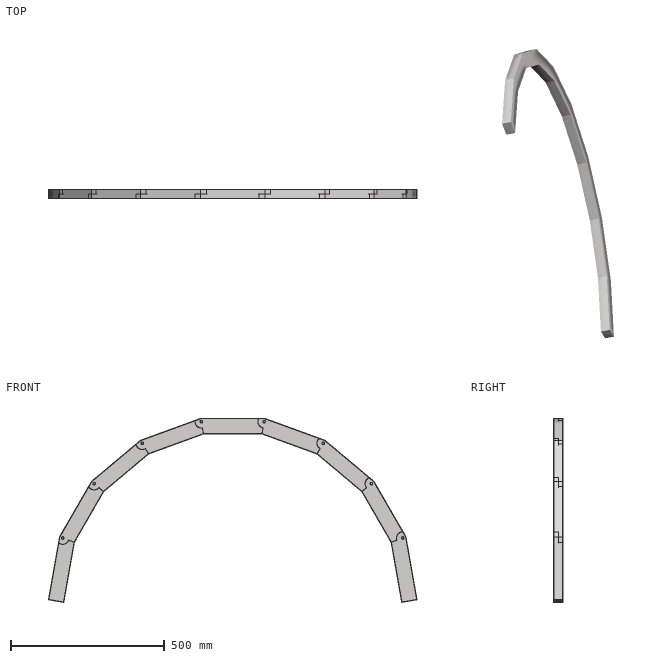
import cadquery as cq
import math

span = 1201.0
link_count = 9
bend = 20.0
foot_length = 208.0
link_height = 50.0
link_thickness = 30.0
front_lap = link_thickness / 2
back_lap = -link_thickness / 2
lug_radius = 20.0
pin_hole_radius = 4.0
pin_depth = 11.0

slopes = [bend * ((link_count - 1) / 2 - i) for i in range(link_count)]
slope_cosines = [math.cos(math.radians(slope)) for slope in slopes]
middle_length = (span - foot_length * (slope_cosines[0] + slope_cosines[-1])) / sum(slope_cosines[1:-1])
lengths = [foot_length] + [middle_length] * (link_count - 2) + [foot_length]


def step(point, angle, distance):
    """Point reached from `point` by moving `distance` at `angle` degrees in XZ."""
    direction = math.radians(angle)
    return (point[0] + distance * math.cos(direction), point[1] + distance * math.sin(direction))


corners = [(-span / 2, 0.0)]
for slope, length in zip(slopes, lengths):
    corners.append(step(corners[-1], slope, length))


def inward_angle(corner):
    """Direction of the end face at a corner, in degrees: square at the feet, mitred at the joints."""
    if corner == 0:
        return slopes[0] - 90
    if corner == link_count:
        return slopes[-1] - 90
    return (slopes[corner - 1] + slopes[corner]) / 2 - 90


def is_joint(corner):
    """True where two links meet, False at the feet."""
    return 0 < corner < link_count


def inner_corner(corner):
    """Inner edge point of the end face; a mitred face is longer than the link height."""
    end_face = link_height
    if is_joint(corner):
        end_face = link_height / math.cos(math.radians(bend / 2))
    return step(corners[corner], inward_angle(corner), end_face)


def plate(link, lap):
    """One lap of a plain link, without lugs."""
    outline = [corners[link], corners[link + 1], inner_corner(link + 1), inner_corner(link)]
    return cq.Workplane("XZ").polyline(outline).close().extrude(lap)


def pin_disc(corner, radius, lap):
    """Disc about the pin axis of a joint, one lap thick."""
    pin = step(corners[corner], inward_angle(corner), pin_depth)
    return cq.Workplane("XZ").center(*pin).circle(radius).extrude(lap)


def lug(corner, neighbour, lap):
    """Round lug that fills a recess in the neighbouring link and stays inside its outline."""
    return pin_disc(corner, lug_radius, lap).intersect(plate(neighbour, lap))


def make_link(link):
    """A link with a front lug at its left joint and a back lug at its right joint."""
    left, right = link, link + 1
    front = plate(link, front_lap)
    back = plate(link, back_lap)

    if is_joint(left):
        front = front.union(lug(left, link - 1, front_lap))
        front = front.cut(pin_disc(left, pin_hole_radius, front_lap))
        back = back.cut(pin_disc(left, lug_radius, back_lap))

    if is_joint(right):
        back = back.union(lug(right, link + 1, back_lap))
        back = back.cut(pin_disc(right, pin_hole_radius, back_lap))
        front = front.cut(pin_disc(right, lug_radius, front_lap))

    return front.union(back)


links = [make_link(link) for link in range(link_count)]

result = cq.Compound.makeCompound([link.val() for link in links])